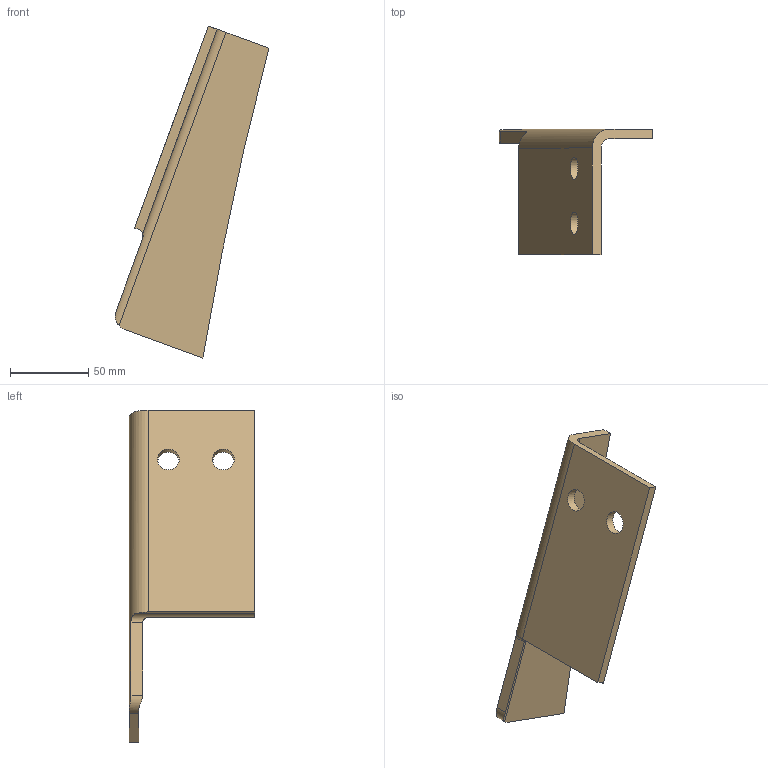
import cadquery as cq

tilt_angle = 20.0
length = 200.0
depth = 80.0
thickness = 6.0
outer_bend_radius = 12.0
top_width = 41.1
bottom_width = 69.24
edge_arc_radius = 2200.0

flange_length = 137.0
cut_inset = 7.0
cut_fillet_radius = 4.5
corner_radius = 9.0

hole_diameter = 14.0
hole_depths = (25.0, 60.0)
hole_drop = 33.5


def bent_sheet():
    """L-section sheet, wide enough for the bottom end, with a rounded bend."""
    inner_bend_radius = outer_bend_radius - thickness
    plan = (
        cq.Workplane("XY")
        .moveTo(bottom_width, 0)
        .lineTo(outer_bend_radius, 0)
        .radiusArc((0, -outer_bend_radius), -outer_bend_radius)
        .lineTo(0, -depth)
        .lineTo(thickness, -depth)
        .lineTo(thickness, -outer_bend_radius)
        .radiusArc((outer_bend_radius, -thickness), inner_bend_radius)
        .lineTo(bottom_width, -thickness)
        .close()
    )
    return plan.extrude(-length)


def front_profile():
    """Outline seen square to the wide flange: curved free edge, stepped bend edge."""
    return (
        cq.Workplane("XZ")
        .moveTo(0, 0)
        .lineTo(top_width, 0)
        .radiusArc((bottom_width, -length), -edge_arc_radius)
        .lineTo(cut_inset + corner_radius, -length)
        .radiusArc((cut_inset, corner_radius - length), corner_radius)
        .lineTo(cut_inset, -flange_length - cut_fillet_radius)
        .radiusArc((cut_inset - cut_fillet_radius, -flange_length), -cut_fillet_radius)
        .lineTo(0, -flange_length)
        .close()
        .extrude(depth)
    )


def bolt_holes():
    """Cylinders that pierce the side flange."""
    centers = [(-hole_depth, -hole_drop) for hole_depth in hole_depths]
    return cq.Workplane("YZ").pushPoints(centers).circle(hole_diameter / 2).extrude(thickness)


upright = bent_sheet().intersect(front_profile()).cut(bolt_holes())

result = upright.rotate((0, 0, 0), (0, 1, 0), tilt_angle)